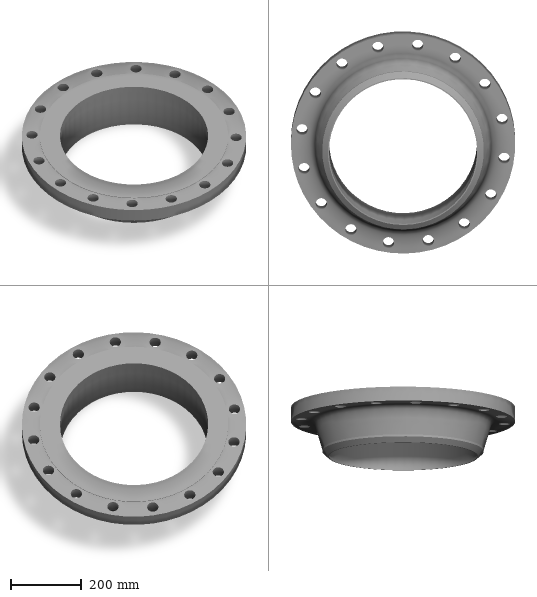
import cadquery as cq

flange_diameter = 635.0
total_height = 141.5
raised_face_diameter = 533.5
raised_face_height = 1.6
flange_thickness = 40.0

bore_diameter = 419.0
hub_base_diameter = 505.0
hub_end_diameter = 457.0
hub_straight_top = 20.0
bevel_height = 14.0
bevel_end_diameter = 425.5
hub_fillet_radius = 13.0
root_margin = 0.5

bolt_count = 16
bolt_circle_diameter = 578.0
bolt_hole_diameter = 32.0

flange_top = total_height - raised_face_height
flange_bottom = flange_top - flange_thickness


def ring_body():
    """Revolve the half section of the flange, hub and bore about Z."""
    section = (
        cq.Workplane("XZ")
        .moveTo(bore_diameter / 2, 0)
        .lineTo(bevel_end_diameter / 2, 0)
        .lineTo(hub_end_diameter / 2, bevel_height)
        .lineTo(hub_end_diameter / 2, hub_straight_top)
        .lineTo(hub_base_diameter / 2, flange_bottom)
        .lineTo(flange_diameter / 2, flange_bottom)
        .lineTo(flange_diameter / 2, flange_top)
        .lineTo(raised_face_diameter / 2, flange_top)
        .lineTo(raised_face_diameter / 2, total_height)
        .lineTo(bore_diameter / 2, total_height)
        .close()
    )
    return section.revolve(360, (0, 0, 0), (0, 1, 0))


def round_hub_root(body):
    """Fillet the inner corner where the hub meets the flange underside."""
    root_region = cq.selectors.BoxSelector(
        (-hub_base_diameter, -hub_base_diameter, flange_bottom - root_margin),
        (hub_base_diameter, hub_base_diameter, flange_bottom + root_margin),
    )
    root_circles = body.edges(root_region).edges("%CIRCLE")
    return root_circles.edges(cq.selectors.RadiusNthSelector(0)).fillet(hub_fillet_radius)


def bolt_holes():
    """Cutters for the bolt circle, with one hole on the X axis."""
    return (
        cq.Workplane("XY")
        .polarArray(bolt_circle_diameter / 2, 0, 360, bolt_count)
        .circle(bolt_hole_diameter / 2)
        .extrude(total_height)
    )


result = round_hub_root(ring_body()).cut(bolt_holes())